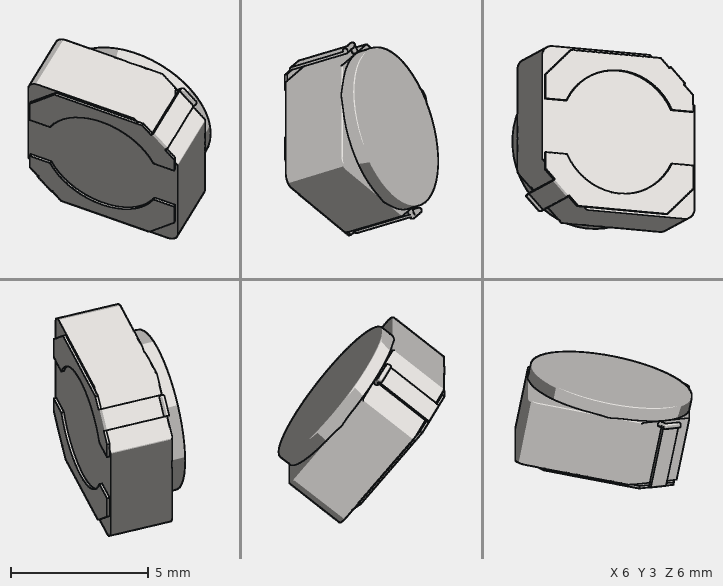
import cadquery as cq
import math


width = 6.0
half_width = width / 2
case_depth = 2.4
corner_radius = 0.4
flange_thickness = 0.5
edge_radius = 0.05
flat_distance = half_width

pad_thickness = 0.1
pad_half_width = 2.9
pad_inner_z = 1.0
pad_chamfer = 1.0
pad_arc_radius = 2.3
pad_overhang = 0.2
pad_edge_distance = flat_distance + pad_overhang

strip_width = 0.8
strip_thickness = pad_thickness
strip_face_distance = pad_edge_distance + strip_thickness
wire_radius = pad_thickness
wire_y = case_depth - wire_radius
wire_embed = 0.05

corner_plane = cq.Plane(origin=(0, 0, 0), xDir=(1, 0, 1), normal=(0, 1, 0))


def flat_end(side, distance):
    """Where a 45 degree line at this distance from the axis meets a square's side."""
    return distance * math.sqrt(2) - side


def make_case():
    """Square block with two round corners, two flat corners and softened edges."""
    flat_x = flat_end(half_width, flat_distance)
    outline = [
        (-half_width, half_width),
        (flat_x, half_width),
        (half_width, flat_x),
        (half_width, -half_width),
        (-flat_x, -half_width),
        (-half_width, -flat_x),
    ]
    case = cq.Workplane("XZ").polyline(outline).close().extrude(-case_depth)
    case = case.edges("|Y").edges(">(1,0,-1) or <(1,0,-1)").fillet(corner_radius)

    flat_edges = case.edges("|Y").edges(">(1,0,1) or <(1,0,1)")
    back_edges = case.faces(">Y").edges("|X or |Z")
    return flat_edges.add(back_edges).fillet(edge_radius)


def make_flange():
    """Round core flange, sunk into the case so it shows through the softened edges."""
    flange = cq.Workplane("XZ", origin=(0, case_depth - edge_radius, 0)).circle(half_width)
    flange = flange.extrude(-(flange_thickness + edge_radius))
    return flange.faces(">Y").edges().fillet(edge_radius)


def make_pad():
    """Upper pad: one chamfered corner, one cut past the case flat, and a round hollow."""
    arc_x = math.sqrt(pad_arc_radius**2 - pad_inner_z**2)
    cut_x = flat_end(pad_half_width, pad_edge_distance)
    return (
        cq.Workplane("XZ")
        .moveTo(-arc_x, pad_inner_z)
        .threePointArc((0, pad_arc_radius), (arc_x, pad_inner_z))
        .lineTo(pad_half_width, pad_inner_z)
        .lineTo(pad_half_width, cut_x)
        .lineTo(cut_x, pad_half_width)
        .lineTo(pad_chamfer - pad_half_width, pad_half_width)
        .lineTo(-pad_half_width, pad_half_width - pad_chamfer)
        .lineTo(-pad_half_width, pad_inner_z)
        .close()
        .extrude(pad_thickness)
    )


def make_strip():
    """Strip that bends up from the pad edge and runs back to the wire."""
    return (
        cq.Workplane(corner_plane.rotated((90, 0, 0)))
        .moveTo(pad_edge_distance, -pad_thickness)
        .radiusArc((strip_face_distance, 0), -strip_thickness)
        .lineTo(strip_face_distance, wire_y)
        .lineTo(pad_edge_distance, wire_y)
        .close()
        .extrude(strip_width / 2, both=True)
    )


def make_wire():
    """Wire leaving the case, turning a rounded elbow and lying along the strip face."""
    strip_end = strip_width / 2
    leg_offset = wire_radius - strip_end
    wire_plane = cq.Workplane(corner_plane).workplane(offset=wire_y)
    elbow = wire_plane.center(strip_face_distance, leg_offset).sphere(wire_radius)

    leg_length = strip_face_distance - flat_distance + wire_embed
    outward = corner_plane.xDir
    along = corner_plane.yDir
    elbow_point = elbow.val().Center()
    leg = cq.Solid.makeCylinder(wire_radius, leg_length, elbow_point, -outward)
    run = cq.Solid.makeCylinder(wire_radius, strip_end - leg_offset, elbow_point, along)
    return elbow.union(leg).union(run)


lead = make_pad().union(make_strip()).union(make_wire())
opposite_lead = lead.rotate((0, 0, 0), (0, 1, 0), 180)
result = make_case().union(make_flange()).union(lead).union(opposite_lead)